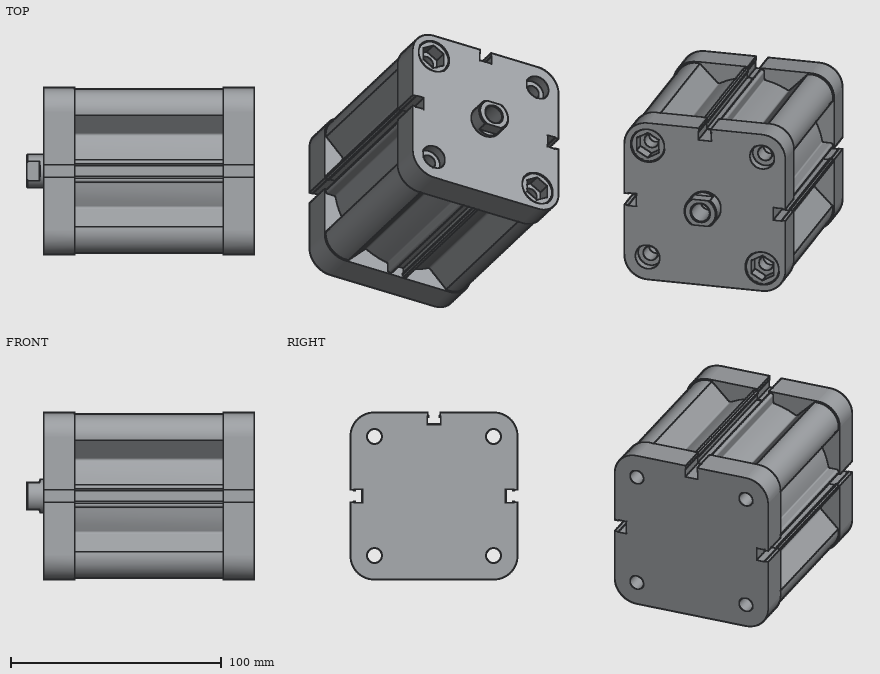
import cadquery as cq
import math


BODY_LENGTH = 100.0
CAP_SIZE = 79.5
CAP_LENGTH = 14.75
BOLT_SPACING = 56.5
CAP_CORNER_RADIUS = (CAP_SIZE - BOLT_SPACING) / 2

CAP_SLOT_OPENING = 5.9
CAP_SLOT_LIP = 1.9
CAP_SLOT_WIDTH = 6.4
CAP_SLOT_DEPTH = 6.0
CAP_SLOT_ANGLES = (0, 90, -90)

BOLT_HOLE_DIAMETER = 7.0
COUNTERBORE_DIAMETER = 12.0
COUNTERBORE_DEPTH = 5.0
SCREW_RECESS_DIAMETER = 16.7
SCREW_HEAD_DIAMETER = 16.2
SCREW_HEAD_SETBACK = 0.5
SCREW_GROOVE_DEPTH = 1.0
HEX_ACROSS_FLATS = 11.0
HEX_DEPTH = 6.5

BARREL_LENGTH = BODY_LENGTH - 2 * CAP_LENGTH
BARREL_SIZE = 78.0
BARREL_CORNER_RADIUS = (BARREL_SIZE - BOLT_SPACING) / 2
TUBE_RADIUS = 34.3
CORNER_WEB_WIDTH = 17.4
WEB_FILLET = 1.2
WEB_ANGLE_OFFSET = 45
RAIL_WIDTH = 10.6
RAIL_ROUNDING = 1.1
RAIL_BASE_FILLET = 0.8
RAIL_SLOT_OPENING = 5.2
RAIL_SLOT_CHAMFER = 0.8
RAIL_SLOT_LIP = 1.5
RAIL_SLOT_FLOOR = 34.2
RAIL_ANGLES = (0, 90, 180, 270)

ROD_DIAMETER = 16.0
ROD_PROJECTION = 8.0
ROD_CHAMFER = 0.5
FLAT_ACROSS = 13.0
FLAT_LENGTH = 6.0
FLAT_RUNOUT = 0.4
ROD_HOLE_DIAMETER = 9.0
ROD_HOLE_DEPTH = 16.0
ROD_HOLE_CHAMFER = 0.4
DRILL_POINT_ANGLE = 118.0

HALF_SPACING = BOLT_SPACING / 2
BOLT_POINTS = [(y, z) for y in (-HALF_SPACING, HALF_SPACING) for z in (-HALF_SPACING, HALF_SPACING)]
SCREW_POINTS = [(y, z) for y, z in BOLT_POINTS if y * z > 0]
COUNTERBORE_POINTS = [(y, z) for y, z in BOLT_POINTS if y * z < 0]


def section(x):
    """Sketch plane across the cylinder axis at x: local axes are Y and Z, extrusion runs along +X."""
    return cq.Workplane("YZ", origin=(x, 0, 0))


def about_axis(solid, angle):
    return solid.rotate((0, 0, 0), (1, 0, 0), angle)


def holes(x, points, diameter, depth):
    """Cutters for round holes that start at x and run along +X."""
    return section(x).pushPoints(points).circle(diameter / 2).extrude(depth)


def cap_slot(x):
    """T-slot cutter for the +Z side of a cap."""
    top = CAP_SIZE / 2
    neck_z = top - CAP_SLOT_DEPTH / 2
    neck = section(x).center(0, neck_z).rect(CAP_SLOT_OPENING, CAP_SLOT_DEPTH).extrude(CAP_LENGTH)
    foot_height = CAP_SLOT_DEPTH - CAP_SLOT_LIP
    foot_z = top - CAP_SLOT_LIP - foot_height / 2
    foot = section(x).center(0, foot_z).rect(CAP_SLOT_WIDTH, foot_height).extrude(CAP_LENGTH)
    return neck.union(foot)


def make_cap(x):
    cap = section(x).rect(CAP_SIZE, CAP_SIZE).extrude(CAP_LENGTH).edges("|X").fillet(CAP_CORNER_RADIUS)
    for angle in CAP_SLOT_ANGLES:
        cap = cap.cut(about_axis(cap_slot(x), angle))
    return cap.cut(holes(x, BOLT_POINTS, BOLT_HOLE_DIAMETER, CAP_LENGTH))


def make_front_cap():
    cap = make_cap(0)
    counterbores = holes(0, COUNTERBORE_POINTS, COUNTERBORE_DIAMETER, COUNTERBORE_DEPTH)
    recesses = holes(0, SCREW_POINTS, SCREW_RECESS_DIAMETER, SCREW_HEAD_SETBACK)
    grooves = (
        section(SCREW_HEAD_SETBACK)
        .pushPoints(SCREW_POINTS)
        .circle(SCREW_RECESS_DIAMETER / 2)
        .circle(SCREW_HEAD_DIAMETER / 2)
        .extrude(SCREW_GROOVE_DEPTH)
    )
    hex_across_corners = HEX_ACROSS_FLATS / math.cos(math.radians(30))
    cap = cap.cut(counterbores).cut(recesses).cut(grooves)
    for y, z in SCREW_POINTS:
        socket = section(SCREW_HEAD_SETBACK).polygon(6, hex_across_corners).extrude(HEX_DEPTH)
        cap = cap.cut(about_axis(socket, 90).translate((0, y, z)))
    rod_bore = section(0).circle(ROD_DIAMETER / 2).extrude(CAP_LENGTH)
    return cap.cut(rod_bore)


def make_corner_web():
    """Parallel-sided web on the +Z side that ends in an arc about the bolt axis."""
    half_width = CORNER_WEB_WIDTH / 2
    bolt_z = HALF_SPACING * math.sqrt(2)
    arc_start_z = bolt_z + math.sqrt(BARREL_CORNER_RADIUS**2 - half_width**2)
    return (
        section(CAP_LENGTH)
        .moveTo(-half_width, 0)
        .lineTo(-half_width, arc_start_z)
        .threePointArc((0, bolt_z + BARREL_CORNER_RADIUS), (half_width, arc_start_z))
        .lineTo(half_width, 0)
        .close()
        .extrude(BARREL_LENGTH)
    )


def make_rail():
    """Solid rail on the +Z side of the tube, rounded on its two outer edges."""
    rail_height = BARREL_SIZE / 2
    rail = section(CAP_LENGTH).center(0, rail_height / 2).rect(RAIL_WIDTH, rail_height).extrude(BARREL_LENGTH)
    return rail.edges("|X and >Z").fillet(RAIL_ROUNDING)


def make_rail_slot():
    """T-slot cutter for the rail on the +Z side, with a chamfered mouth."""
    top = BARREL_SIZE / 2
    lip_z = top - RAIL_SLOT_LIP
    half_mouth = RAIL_SLOT_OPENING / 2
    half_foot = CAP_SLOT_WIDTH / 2
    return (
        section(CAP_LENGTH)
        .moveTo(half_mouth + RAIL_SLOT_CHAMFER, top)
        .lineTo(half_mouth, top - RAIL_SLOT_CHAMFER)
        .lineTo(half_mouth, lip_z)
        .lineTo(half_foot, lip_z)
        .lineTo(half_foot, RAIL_SLOT_FLOOR)
        .lineTo(-half_foot, RAIL_SLOT_FLOOR)
        .lineTo(-half_foot, lip_z)
        .lineTo(-half_mouth, lip_z)
        .lineTo(-half_mouth, top - RAIL_SLOT_CHAMFER)
        .lineTo(-half_mouth - RAIL_SLOT_CHAMFER, top)
        .close()
        .extrude(BARREL_LENGTH)
    )


def edges_at_radius(solid, radius):
    """Lengthwise edges of a solid that lie at the given distance from the cylinder axis."""
    tolerance = 0.01
    lengthwise = solid.edges("|X")
    return lengthwise.filter(lambda e: abs(math.hypot(e.Center().y, e.Center().z) - radius) < tolerance)


def make_barrel():
    tube = section(CAP_LENGTH).circle(TUBE_RADIUS).extrude(BARREL_LENGTH)
    barrel = tube
    for angle in RAIL_ANGLES:
        barrel = barrel.union(about_axis(make_corner_web(), angle + WEB_ANGLE_OFFSET))
    barrel = edges_at_radius(barrel, TUBE_RADIUS).fillet(WEB_FILLET)
    for angle in RAIL_ANGLES:
        barrel = barrel.union(about_axis(make_rail(), angle))
    barrel = edges_at_radius(barrel, TUBE_RADIUS).fillet(RAIL_BASE_FILLET)
    for angle in RAIL_ANGLES:
        barrel = barrel.cut(about_axis(make_rail_slot(), angle))
    return barrel.cut(holes(CAP_LENGTH, BOLT_POINTS, BOLT_HOLE_DIAMETER, BARREL_LENGTH))


def make_rod():
    """Rod with two wrench flats and a blind hole in its front end."""
    tip = -ROD_PROJECTION
    rod_radius = ROD_DIAMETER / 2
    rod = section(tip).circle(rod_radius).extrude(ROD_PROJECTION + CAP_LENGTH)
    rod = rod.faces("<X").chamfer(ROD_CHAMFER)

    flat_z = FLAT_ACROSS / 2
    flat_end = tip + FLAT_LENGTH
    flat = (
        cq.Workplane("XZ")
        .moveTo(tip, flat_z)
        .lineTo(flat_end, flat_z)
        .lineTo(flat_end + FLAT_RUNOUT, rod_radius)
        .lineTo(tip, rod_radius)
        .close()
        .extrude(rod_radius, both=True)
    )
    rod = rod.cut(flat).cut(about_axis(flat, 180))

    hole_radius = ROD_HOLE_DIAMETER / 2
    point_length = hole_radius / math.tan(math.radians(DRILL_POINT_ANGLE / 2))
    hole = (
        cq.Workplane("XY")
        .moveTo(tip, 0)
        .lineTo(tip, hole_radius + ROD_HOLE_CHAMFER)
        .lineTo(tip + ROD_HOLE_CHAMFER, hole_radius)
        .lineTo(tip + ROD_HOLE_DEPTH, hole_radius)
        .lineTo(tip + ROD_HOLE_DEPTH + point_length, 0)
        .close()
        .revolve(360, (0, 0, 0), (1, 0, 0))
    )
    return rod.cut(hole)


front_cap = make_front_cap()
barrel = make_barrel()
rear_cap = make_cap(BODY_LENGTH - CAP_LENGTH)
rod = make_rod()

result = cq.Compound.makeCompound([front_cap.val(), barrel.val(), rear_cap.val(), rod.val()])